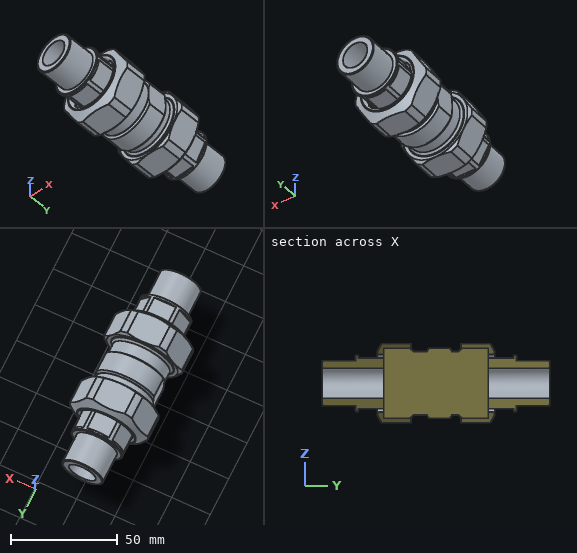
import cadquery as cq
import math

OVERALL_LENGTH = 107.0
HALF_LENGTH = OVERALL_LENGTH / 2
CHAMFER_SLOPE = math.tan(math.radians(30))

NUT_ACROSS_FLATS = 37.1
NUT_CORNER_DIAMETER = 40.7
NUT_INNER_FACE = 11.7
NUT_OUTER_FACE = 27.6
NUT_CONE_END_DIAMETER = 30.8
NUT_RAISED_FACE_DIAMETER = 30.0
NUT_RAISED_FACE_HEIGHT = 0.2
NUT_INNER_FACE_DIAMETER = 37.0
NUT_LIP_THICKNESS = 3.0
NUT_LIP_DIAMETER = 27.0
NUT_LIP_ROUND = 1.0
THREAD_DIAMETER = 33.0
SEAT = NUT_OUTER_FACE - NUT_LIP_THICKNESS

TAIL_BORE_DIAMETER = 14.0
TUBE_DIAMETER = 21.3
COLLAR_DIAMETER = 26.5
COLLAR_OUTER_FACE = 37.9
WRENCH_FLATS_END = 36.5
TAIL_ACROSS_FLATS = 24.0
EDGE_CHAMFER_WIDTH = 0.5

NECK_DIAMETER = 30.0
THREAD_CONE_END = 10.5
THREAD_CONE_LENGTH = (THREAD_DIAMETER - NECK_DIAMETER) / 2
THREAD_START = THREAD_CONE_END + THREAD_CONE_LENGTH
BAND_DIAMETER = 33.0
BAND_END_DIAMETER = 30.3
BAND_BACK = 7.5
BAND_FRONT = -4.3
BAND_ACROSS_FLATS = 30.0


def revolve_about_y(points):
    """Solid of revolution about Y from an outline of (radius, y) points."""
    return cq.Workplane("XY").polyline(points).close().revolve(360, (0, 0), (0, 1))


def hexagon_bar(across_flats, y_start, y_end):
    """Hexagonal bar along Y with two of its flats facing up and down (the XZ plane normal is -Y)."""
    across_corners = across_flats / math.cos(math.radians(30))
    bar = cq.Workplane("XZ", origin=(0, y_start, 0)).polygon(6, across_corners)
    return bar.extrude(y_start - y_end)


def make_nut():
    """Hexagon nut with chamfered ends, a bore fitting the body thread and an inward lip."""
    corner_radius = NUT_CORNER_DIAMETER / 2
    cone_end_radius = NUT_CONE_END_DIAMETER / 2
    raised_face_radius = NUT_RAISED_FACE_DIAMETER / 2
    cone_end = NUT_OUTER_FACE - NUT_RAISED_FACE_HEIGHT
    inner_face_radius = NUT_INNER_FACE_DIAMETER / 2
    envelope = revolve_about_y([
        (0, NUT_INNER_FACE),
        (inner_face_radius, NUT_INNER_FACE),
        (corner_radius, NUT_INNER_FACE + (corner_radius - inner_face_radius) * CHAMFER_SLOPE),
        (corner_radius, cone_end - (corner_radius - cone_end_radius) * CHAMFER_SLOPE),
        (cone_end_radius, cone_end),
        (raised_face_radius, cone_end),
        (raised_face_radius, NUT_OUTER_FACE),
        (0, NUT_OUTER_FACE),
    ])
    nut = envelope.intersect(hexagon_bar(NUT_ACROSS_FLATS, NUT_INNER_FACE, NUT_OUTER_FACE))

    thread_radius = THREAD_DIAMETER / 2
    mouth_radius = NECK_DIAMETER / 2 + NUT_INNER_FACE - THREAD_CONE_END
    lip_radius = NUT_LIP_DIAMETER / 2
    bore = revolve_about_y([
        (0, NUT_INNER_FACE),
        (mouth_radius, NUT_INNER_FACE),
        (thread_radius, THREAD_START),
        (thread_radius, SEAT),
        (lip_radius, SEAT),
        (lip_radius, NUT_OUTER_FACE),
        (0, NUT_OUTER_FACE),
    ])
    nut = nut.cut(bore)
    lip_mouth = cq.selectors.RadiusNthSelector(0)
    return nut.faces(">Y").edges(lip_mouth).fillet(NUT_LIP_ROUND)


def make_tail():
    """Bored tube with a collar, and a hexagon between the collar and the nut."""
    tube_radius = TUBE_DIAMETER / 2
    collar_radius = COLLAR_DIAMETER / 2
    bore_radius = TAIL_BORE_DIAMETER / 2
    chamfer_length = EDGE_CHAMFER_WIDTH * CHAMFER_SLOPE
    tail = revolve_about_y([
        (bore_radius, SEAT),
        (collar_radius, SEAT),
        (collar_radius, COLLAR_OUTER_FACE - chamfer_length),
        (collar_radius - EDGE_CHAMFER_WIDTH, COLLAR_OUTER_FACE),
        (tube_radius, COLLAR_OUTER_FACE),
        (tube_radius, HALF_LENGTH - chamfer_length),
        (tube_radius - EDGE_CHAMFER_WIDTH, HALF_LENGTH),
        (bore_radius, HALF_LENGTH),
    ])
    blank_diameter = 2 * COLLAR_DIAMETER
    blank = cq.Workplane("XZ", origin=(0, SEAT, 0)).circle(blank_diameter / 2)
    blank = blank.extrude(SEAT - WRENCH_FLATS_END)
    around_hexagon = blank.cut(hexagon_bar(TAIL_ACROSS_FLATS, SEAT, WRENCH_FLATS_END))
    return tail.cut(around_hexagon)


def make_body():
    """Solid core with a threaded end in each nut and a wrench band with two flats between them."""
    neck_radius = NECK_DIAMETER / 2
    thread_radius = THREAD_DIAMETER / 2
    band_radius = BAND_DIAMETER / 2
    band_end_radius = BAND_END_DIAMETER / 2
    band_chamfer = (band_radius - band_end_radius) * CHAMFER_SLOPE
    body = revolve_about_y([
        (0, -SEAT),
        (thread_radius, -SEAT),
        (thread_radius, -THREAD_START),
        (neck_radius, -THREAD_CONE_END),
        (neck_radius, BAND_FRONT),
        (band_end_radius, BAND_FRONT),
        (band_radius, BAND_FRONT + band_chamfer),
        (band_radius, BAND_BACK - band_chamfer),
        (band_end_radius, BAND_BACK),
        (neck_radius, BAND_BACK),
        (neck_radius, THREAD_CONE_END),
        (thread_radius, THREAD_START),
        (thread_radius, SEAT),
        (0, SEAT),
    ])
    band_length = BAND_BACK - BAND_FRONT
    band_middle = (BAND_BACK + BAND_FRONT) / 2
    for side in (-1, 1):
        flat_cutter = cq.Workplane("XY").box(BAND_DIAMETER, band_length, BAND_DIAMETER)
        flat_offset = side * (BAND_ACROSS_FLATS + BAND_DIAMETER) / 2
        body = body.cut(flat_cutter.translate((flat_offset, band_middle, 0)))
    return body


def at_end(part, end):
    """Place a part drawn for the +Y end at that end (1) or mirrored at the -Y end (-1)."""
    return part if end > 0 else part.mirror("XZ")


body = make_body()
nuts = []
tails = []
for end in (1, -1):
    nuts.append(at_end(make_nut(), end))
    tails.append(at_end(make_tail(), end))

result = cq.Compound.makeCompound([
    body.val(),
    *[nut.val() for nut in nuts],
    *[tail.val() for tail in tails],
])